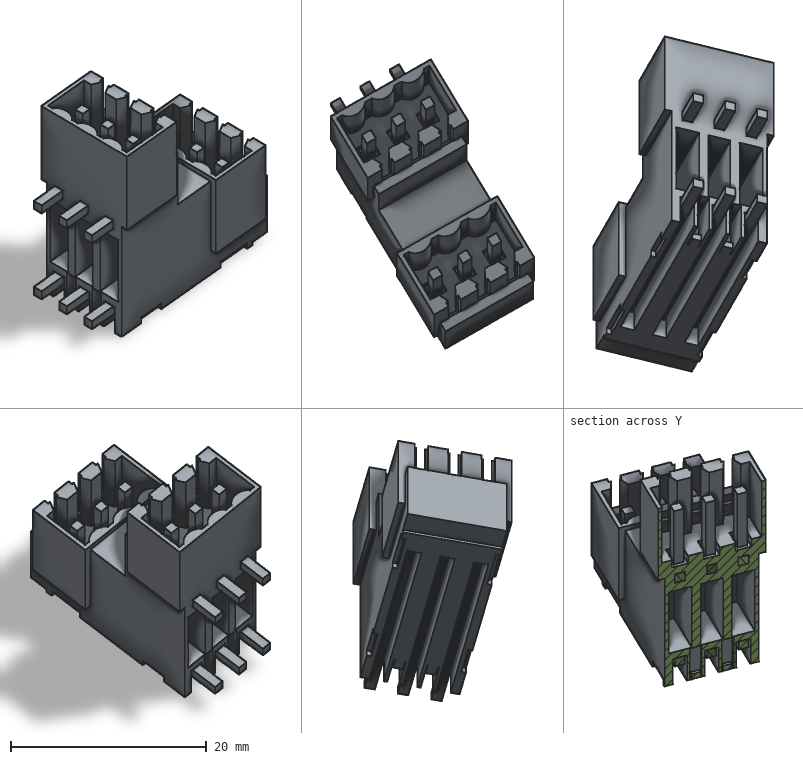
import cadquery as cq


POLES = 3
POLE_PITCH = 3.5
TIER_RISE = 11.5
TIER_SETBACK = 13.45
POLE_X = [(i - (POLES - 1) / 2) * POLE_PITCH for i in range(POLES)]

CORE_WIDTH = 10.4
CORE_DEPTH = 22.0
STEP_DEPTH = 8.5
LEDGE_HEIGHT = 12.47
BACKSTOP_HEIGHT = 7.91
HEEL_HEIGHT = 0.4
HEEL_START = 19.8

SHROUD_WIDTH = 11.9
SHROUD_DEPTH = 7.5
SHROUD_HEIGHT = 9.83
LOWER_SHROUD_TOP = 13.05
SIDE_WALL = 0.48
FRONT_WALL = 0.5
CAVITY_BACK = 5.92
CAVITY_DEPTH = 7.5
BUMP_HALF_CHORD = 1.34
BUMP_HEIGHT = 0.65
KEY_INNER_WIDTH = 1.97
KEY_OUTER_WIDTH = 0.9
KEY_LENGTH = 1.08
SLOT_WIDTH = 1.44
SLOT_DEPTH = 6.05
BACKSTOP_OVERLAP = 0.05

PIN_SIZE = 1.08
PIN_LEG_DEPTH = 1.03
PIN_TAIL = 3.2
PIN_Y = 3.55
PIN_TIP_DROP = 1.25
LOWER_PIN_TOP = 3.43
RECESS_SIZE = 1.75
RECESS_DEPTH = 1.0

RIB_THICKNESS = 1.0
RIB_PITCH = 3.43
CORE_WALL = 0.48
WINDOW_BOTTOM = 4.4
WINDOW_TOP = 12.68
WINDOW_DEPTH = SHROUD_DEPTH
NOTCH_HEIGHT = 0.75
FRONT_NOTCH = (3.0, 6.0)
REAR_NOTCH = (15.0, 19.0)
CHANNEL_WIDTH = 1.5
RELIEF_WIDTH = 1.25
RELIEF_HEIGHT = 4.25
RELIEF_DEPTH = 3.0
FOOT_LENGTH = 1.0
FOOT_HEIGHT = 0.75

UPPER_TIER = (0.0, TIER_RISE)
LOWER_TIER = (TIER_SETBACK, 0.0)
TIERS = [UPPER_TIER, LOWER_TIER]


def block(x_range, y_range, z_range):
    """Axis-aligned box given by its limits."""
    (x0, x1), (y0, y1), (z0, z1) = x_range, y_range, z_range
    return cq.Workplane("XY").box(x1 - x0, y1 - y0, z1 - z0, centered=False).translate((x0, y0, z0))


def centred(width, x=0.0):
    """Limits of a length centred on x."""
    return (x - width / 2, x + width / 2)


def make_core():
    """Stepped central body, with the heel relief under its rear end."""
    upper_backstop = BACKSTOP_HEIGHT + TIER_RISE
    lower_shroud_back = TIER_SETBACK + SHROUD_DEPTH - BACKSTOP_OVERLAP
    profile = [
        (0, 0),
        (HEEL_START, 0),
        (HEEL_START, HEEL_HEIGHT),
        (CORE_DEPTH, HEEL_HEIGHT),
        (CORE_DEPTH, BACKSTOP_HEIGHT),
        (lower_shroud_back, BACKSTOP_HEIGHT),
        (lower_shroud_back, LEDGE_HEIGHT),
        (STEP_DEPTH, LEDGE_HEIGHT),
        (STEP_DEPTH, upper_backstop),
        (0, upper_backstop),
    ]
    return cq.Workplane("YZ").polyline(profile).close().extrude(CORE_WIDTH / 2, both=True)


def shroud_block(front, lift):
    top = LOWER_SHROUD_TOP + lift
    return block(centred(SHROUD_WIDTH), (front, front + SHROUD_DEPTH), (top - SHROUD_HEIGHT, top))


def plug_cavity(front, lift):
    """Space for the plug: bumped front, keyed and slotted rear, recesses around the pins."""
    top = LOWER_SHROUD_TOP + lift
    floor = top - CAVITY_DEPTH
    inner_front = front + FRONT_WALL
    inner_back = front + CAVITY_BACK
    key_end = inner_back + KEY_LENGTH
    half_width = SHROUD_WIDTH / 2 - SIDE_WALL

    outline = cq.Workplane("XY", origin=(0, 0, floor)).moveTo(-half_width, inner_front)
    for x in POLE_X:
        outline = outline.lineTo(x - BUMP_HALF_CHORD, inner_front)
        outline = outline.threePointArc((x, inner_front + BUMP_HEIGHT), (x + BUMP_HALF_CHORD, inner_front))
    outline = outline.lineTo(half_width, inner_front).lineTo(half_width, inner_back)
    for x in reversed(POLE_X):
        outline = outline.lineTo(x + KEY_INNER_WIDTH / 2, inner_back)
        outline = outline.lineTo(x + KEY_OUTER_WIDTH / 2, key_end)
        outline = outline.lineTo(x - KEY_OUTER_WIDTH / 2, key_end)
        outline = outline.lineTo(x - KEY_INNER_WIDTH / 2, inner_back)
    cavity = outline.lineTo(-half_width, inner_back).close().extrude(CAVITY_DEPTH)

    backstop_top = BACKSTOP_HEIGHT + lift
    slot_end = front + SHROUD_DEPTH
    leg_y = front + PIN_Y
    for x in POLE_X:
        slot_x = centred(SLOT_WIDTH, x)
        cavity = cavity.union(block(slot_x, (key_end, slot_end), (backstop_top, top)))
        cavity = cavity.union(
            block(slot_x, (key_end, slot_end - BACKSTOP_OVERLAP), (top - SLOT_DEPTH, backstop_top))
        )
        cavity = cavity.union(
            block(centred(RECESS_SIZE, x), centred(RECESS_SIZE, leg_y), (floor - RECESS_DEPTH, floor))
        )
    return cavity


def window_cuts():
    """Three tall windows in the front face, between the side walls and the two ribs."""
    wall = CORE_WIDTH / 2 - CORE_WALL
    rib_inner = (RIB_PITCH - RIB_THICKNESS) / 2
    rib_outer = (RIB_PITCH + RIB_THICKNESS) / 2
    x_ranges = [(-wall, -rib_outer), (-rib_inner, rib_inner), (rib_outer, wall)]
    return [block(x_range, (0, WINDOW_DEPTH), (WINDOW_BOTTOM, WINDOW_TOP)) for x_range in x_ranges]


def side_notch_cuts():
    """Shallow notches along the lower edge of both sides."""
    half = CORE_WIDTH / 2
    x_ranges = [(-half, CORE_WALL - half), (half - CORE_WALL, half)]
    y_ranges = [FRONT_NOTCH, REAR_NOTCH]
    return [block(x_range, y_range, (0, NOTCH_HEIGHT)) for x_range in x_ranges for y_range in y_ranges]


def pin_channel_cuts():
    """Channels, open to the front and the underside, that run back to the lower pins' legs."""
    channel_end = TIER_SETBACK + PIN_Y + PIN_LEG_DEPTH / 2
    return [block(centred(CHANNEL_WIDTH, x), (0, channel_end), (0, LOWER_PIN_TOP)) for x in POLE_X]


def relief_cuts():
    """Slots between the lower pins, each with a low foot left standing at its back."""
    cuts = []
    for side in (-1, 1):
        slot_x = centred(RELIEF_WIDTH, side * POLE_PITCH / 2)
        foot_x = centred(RIB_THICKNESS, side * RIB_PITCH / 2)
        slot = block(slot_x, (0, RELIEF_DEPTH), (0, RELIEF_HEIGHT))
        foot = block(foot_x, (RELIEF_DEPTH - FOOT_LENGTH, RELIEF_DEPTH), (0, FOOT_HEIGHT))
        cuts.append(slot.cut(foot))
    return cuts


def make_pin(x, front, lift):
    """Square pin bent to an L: a horizontal arm to the front and an upright leg."""
    leg_y = centred(PIN_LEG_DEPTH, front + PIN_Y)
    arm_top = LOWER_PIN_TOP + lift
    arm_bottom = arm_top - PIN_SIZE
    tip = LOWER_SHROUD_TOP + lift - PIN_TIP_DROP
    arm = block(centred(PIN_SIZE, x), (-PIN_TAIL, leg_y[1]), (arm_bottom, arm_top))
    leg = block(centred(PIN_SIZE, x), leg_y, (arm_bottom, tip))
    return arm.union(leg)


def make_pins():
    return [make_pin(x, front, lift) for front, lift in TIERS for x in POLE_X]


def make_housing(pins):
    housing = make_core()
    for front, lift in TIERS:
        housing = housing.union(shroud_block(front, lift))
    for front, lift in TIERS:
        housing = housing.cut(plug_cavity(front, lift))
    for opening in window_cuts() + side_notch_cuts() + pin_channel_cuts() + relief_cuts():
        housing = housing.cut(opening)
    for pin in pins:
        housing = housing.cut(pin)
    return housing


pins = make_pins()
housing = make_housing(pins)

result = cq.Compound.makeCompound([housing.val(), *[pin.val() for pin in pins]])